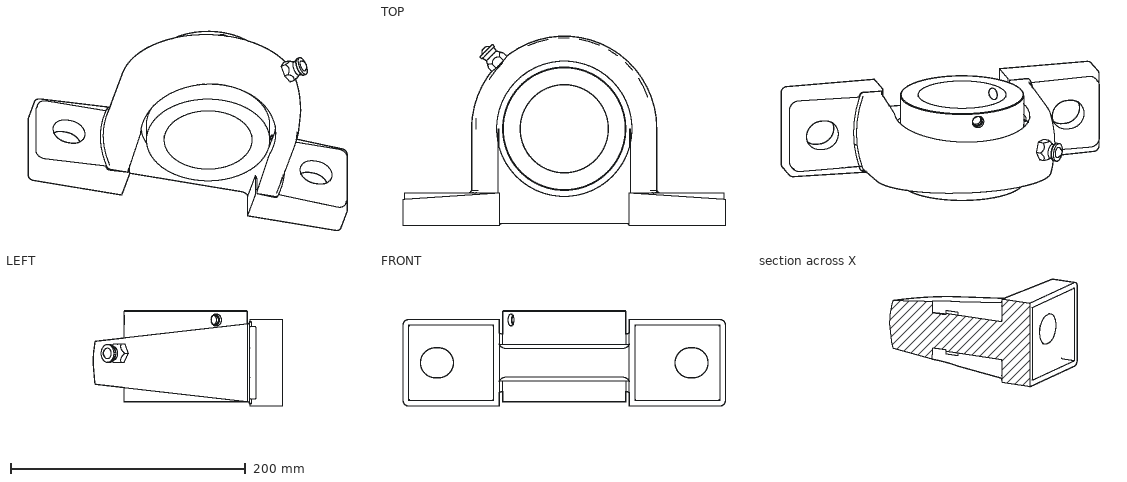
import cadquery as cq
import math


bore_diameter = 75.0
insert_diameter = 105.2
insert_top = 44.5
insert_bottom = -33.3
insert_chamfer = 0.6

base_y = -82.6
arch_radius = 79.05
crown_radius = 95.0
flank_half_height = 27.2
flank_slope = 0.114
flank_edge_fillet = 1.0

seat_radius = 57.7
seat_half_height = 15.7
recess_half_width = 56.5
recess_fillet = 7.0
web_half_height = 12.2
web_corner_fillet = 1.7
web_front_y = base_y + web_corner_fillet

foot_length = 275.0
foot_half_length = foot_length / 2
foot_half_height = 37.0
foot_inner_x = 55.2
foot_inner_top_y = -54.7
foot_outer_top_y = -60.2
foot_corner_radius = 5.0
foot_edge_fillet = 0.8
pad_half_height = 31.0
pad_outer_x = 136.2
pad_top_y = -54.6
pad_corner_radius = 8.0
foot_wall = 4.9
pocket_depth = 12.5
pocket_floor_fillet = 1.0
slot_center_x = 108.5
slot_length = 28.0
slot_width = 25.4
leg_foot_fillet = 2.0
leg_end_y = pad_top_y - 3.0

screw_angles = (210.0, 90.0)
screw_z = insert_top - 8.0
screw_diameter = 10.0
screw_recess = 3.5
screw_tip_gap = 0.1
socket_diameter = 8.0
socket_depth = 3.0

nipple_angle = 135.0
nipple_z = 8.0
nipple_hex = 15.7
nipple_root_r = 70.0
cone_small_radius = 6.0
cone_end_r = 87.9
cone_slope = 0.55
collar_radius = 6.8
flange_radius = 7.65
flange_inner_r = 91.7
flange_outer_r = 94.2
dome_radius = 4.5
nipple_tip_r = 97.0

SIDES = (-1, 1)
ARC_MID = math.sqrt(0.5)
MARGIN = 0.1


def box(x_range, y_range, z_range):
    """Axis-aligned block given as three (low, high) pairs."""
    size = [high - low for low, high in (x_range, y_range, z_range)]
    corner = (x_range[0], y_range[0], z_range[0])
    return cq.Workplane("XY").box(*size, centered=False).translate(corner)


def cylinder(radius, z_low, z_high):
    return cq.Workplane("XY").workplane(offset=z_low).circle(radius).extrude(z_high - z_low)


def flank_height(y):
    """Half height of the tapered arch at a given Y."""
    return flank_half_height - flank_slope * y


def hexagon_diameter(across_flats):
    return across_flats / math.cos(math.radians(30))


def make_arch():
    """Crowned horseshoe, cut to a wedge that thickens toward the base."""
    half = foot_half_height
    edge = arch_radius - crown_radius + math.sqrt(crown_radius**2 - half**2)
    round_end = (
        cq.Workplane("XZ")
        .moveTo(0, -half)
        .lineTo(edge, -half)
        .threePointArc((arch_radius, 0), (edge, half))
        .lineTo(0, half)
        .close()
        .revolve(360, (0, 0), (0, 1))
    )
    legs = (
        cq.Workplane("XZ")
        .moveTo(-edge, -half)
        .lineTo(edge, -half)
        .threePointArc((arch_radius, 0), (edge, half))
        .lineTo(-edge, half)
        .threePointArc((-arch_radius, 0), (-edge, -half))
        .close()
        .extrude(-leg_end_y)
    )
    y_low = leg_end_y
    y_high = arch_radius + MARGIN
    wedge = (
        cq.Workplane("YZ")
        .polyline([
            (y_low, -flank_height(y_low)),
            (y_high, -flank_height(y_high)),
            (y_high, flank_height(y_high)),
            (y_low, flank_height(y_low)),
        ])
        .close()
        .extrude(y_high, both=True)
    )
    arch = round_end.union(legs).intersect(wedge)
    return arch.faces(">Z or <Z").edges("not #Y").fillet(flank_edge_fillet)


def cut_recess(arch):
    """Open the space between the legs on both faces, above the web."""
    for side in SIDES:
        z_range = sorted((side * web_half_height, side * foot_half_height))
        half = recess_half_width
        channel = box((-half, half), (base_y, 0), z_range)
        floor = "<Z" if side > 0 else ">Z"
        channel = channel.faces(floor).edges("|Y").fillet(recess_fillet)
        seat_z = sorted((side * seat_half_height, side * foot_half_height))
        arch = arch.cut(channel).cut(cylinder(seat_radius, *seat_z))
    return arch


def make_leg_skirt(arch):
    """Flared lower end of the +X leg, blending its outer walls into the foot."""
    slab_x = (recess_half_width, slot_center_x)
    slab_z = (-foot_half_height, foot_half_height)
    leg = arch.intersect(box(slab_x, (pad_top_y, 0), slab_z))
    slab = box(slab_x, (leg_end_y, pad_top_y), slab_z)
    reach = arch_radius + leg_foot_fillet
    blend_edges = cq.selectors.BoxSelector(
        (recess_half_width + MARGIN, pad_top_y - MARGIN, MARGIN - foot_half_height),
        (reach, pad_top_y + MARGIN, foot_half_height - MARGIN),
    )
    flared = leg.union(slab).edges(blend_edges).fillet(leg_foot_fillet)
    skirt_y = (pad_top_y, pad_top_y + 2 * leg_foot_fillet)
    skirt = flared.intersect(box(slab_x, skirt_y, slab_z))
    return skirt.union(skirt.faces("<Y").wires().toPending().extrude(pad_top_y - leg_end_y))


def make_web():
    """Plate between the legs, flaring into the foot walls, with the seat ring."""
    flare_z = web_half_height + recess_fillet
    half = recess_half_width
    corner_x = foot_inner_x - web_corner_fillet
    corner_mid = web_corner_fillet * ARC_MID
    web = (
        cq.Workplane("XY")
        .workplane(offset=-flare_z)
        .moveTo(-half, 0)
        .lineTo(-half, base_y)
        .lineTo(-foot_inner_x, base_y)
        .threePointArc((-corner_x - corner_mid, base_y + corner_mid), (-corner_x, web_front_y))
        .lineTo(corner_x, web_front_y)
        .threePointArc((corner_x + corner_mid, base_y + corner_mid), (foot_inner_x, base_y))
        .lineTo(half, base_y)
        .lineTo(half, 0)
        .close()
        .extrude(2 * flare_z)
    )
    for side in SIDES:
        z_range = sorted((side * web_half_height, side * foot_half_height))
        channel = box((-half, half), (base_y, 0), z_range)
        floor = "<Z" if side > 0 else ">Z"
        web = web.cut(channel.faces(floor).edges("|Y").fillet(recess_fillet))
    return web.union(cylinder(seat_radius, -seat_half_height, seat_half_height))


def make_foot():
    """Foot on the +X side: sloped block, raised pad, hollow underside and bolt slot."""
    block = (
        cq.Workplane("XY")
        .workplane(offset=-foot_half_height)
        .polyline([
            (foot_inner_x, base_y),
            (foot_half_length, base_y),
            (foot_half_length, foot_outer_top_y),
            (foot_inner_x, foot_inner_top_y),
        ])
        .close()
        .extrude(2 * foot_half_height)
    )
    block = block.faces(">X").edges("|Y").fillet(foot_corner_radius)
    block = block.faces(">Y").edges("not <X").fillet(foot_edge_fillet)
    pad_z = (-pad_half_height, pad_half_height)
    pad = box((foot_inner_x, pad_outer_x), (base_y, pad_top_y), pad_z)
    pad = pad.faces(">X").edges("|Y").fillet(pad_corner_radius)
    pad = pad.faces(">Y").edges("not <X").fillet(foot_edge_fillet)
    pocket_z = foot_half_height - foot_wall
    pocket = box(
        (foot_inner_x + foot_wall, foot_half_length - foot_wall),
        (base_y, base_y + pocket_depth),
        (-pocket_z, pocket_z),
    )
    pocket = pocket.faces(">Y").edges().fillet(pocket_floor_fillet)
    slot = (
        cq.Workplane("XZ", origin=(slot_center_x, base_y, 0))
        .slot2D(slot_length, slot_width)
        .extrude(base_y)
    )
    return block.union(pad).cut(pocket).cut(slot)


def make_insert():
    insert = cylinder(insert_diameter / 2, insert_bottom, insert_top)
    return insert.faces(">Z").edges().chamfer(insert_chamfer)


def make_screw_recess(angle):
    """Space around a set screw: outer recess, round socket and its flat tip in the bore."""
    def radial_plane(radius):
        return cq.Workplane("YZ", origin=(radius, 0, screw_z))

    screw_face_r = insert_diameter / 2 - screw_recess
    recess = radial_plane(screw_face_r).circle(screw_diameter / 2).extrude(2 * screw_recess)
    socket = (
        radial_plane(screw_face_r - socket_depth)
        .circle(socket_diameter / 2)
        .extrude(socket_depth)
    )
    tip_r = bore_diameter / 2 + screw_tip_gap
    tip = radial_plane(tip_r - screw_recess).circle(screw_diameter / 2).extrude(screw_recess)
    return recess.union(socket).union(tip).rotate((0, 0, 0), (0, 0, 1), angle)


def make_nipple():
    """Turned grease nipple trimmed by its hexagon, pointing radially outward."""
    hex_diameter = hexagon_diameter(nipple_hex)
    cone_length = (hex_diameter / 2 - cone_small_radius) / cone_slope
    dome_height = nipple_tip_r - flange_outer_r
    turned = (
        cq.Workplane("XY")
        .moveTo(nipple_root_r, 0)
        .lineTo(nipple_root_r, hex_diameter / 2)
        .lineTo(cone_end_r - cone_length, hex_diameter / 2)
        .lineTo(cone_end_r, cone_small_radius)
        .lineTo(flange_inner_r, collar_radius)
        .lineTo(flange_inner_r, flange_radius)
        .lineTo(flange_outer_r, flange_radius)
        .lineTo(flange_outer_r, dome_radius)
        .threePointArc((flange_outer_r + dome_height * ARC_MID, dome_radius * ARC_MID), (nipple_tip_r, 0))
        .close()
        .revolve(360, (0, 0), (1, 0))
    )
    prism = (
        cq.Workplane("YZ", origin=(nipple_root_r, 0, 0))
        .polygon(6, hex_diameter)
        .extrude(nipple_tip_r - nipple_root_r)
    )
    nipple = turned.intersect(prism).translate((0, 0, nipple_z))
    return nipple.rotate((0, 0, 0), (0, 0, 1), nipple_angle)


arch = cut_recess(make_arch())
foot = make_foot().union(make_leg_skirt(arch))
body = arch.union(make_web()).union(foot).union(foot.mirror("YZ"))
body = body.union(make_insert()).union(make_nipple())
body = body.cut(cylinder(bore_diameter / 2, insert_bottom, insert_top))
for screw_angle in screw_angles:
    body = body.cut(make_screw_recess(screw_angle))

result = body